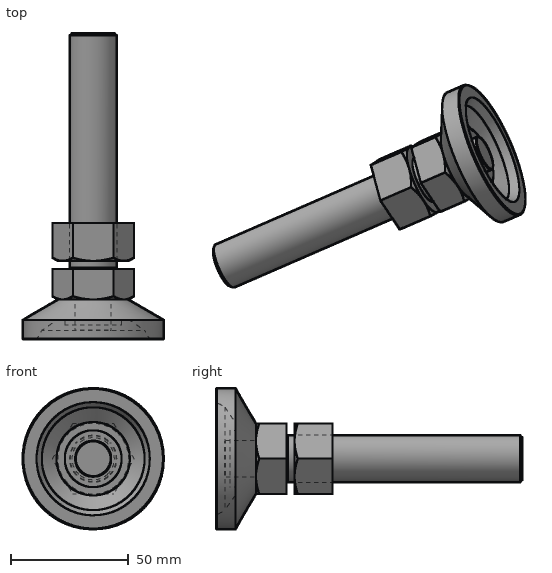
import cadquery as cq
import math


foot_radius = 30.0
foot_rim_height = 8.2
foot_height = 16.9
foot_edge_chamfer = 0.4
recess_mouth_radius = 24.0
recess_step_radius = 21.8
recess_step_height = 3.8
recess_top_radius = 15.6
recess_top_height = 8.0

hex_flats = 30.0
hex_corners = hex_flats / math.cos(math.pi / 6)
hex_chamfer_angle = math.radians(30)
stud_hex_height = 13.0
nut_height = 16.1
nut_gap = 3.4

stud_radius = 10.0
stud_length = 130.0
stud_end_chamfer = 1.0
neck_height = 0.6
neck_depth = 0.3
pin_radius = 7.7
pin_end_height = 3.6
pin_end_chamfer = 0.3

washer_radius = 12.1
washer_thickness = 2.1

foot_top_radius = hex_flats / 2
stud_hex_top = foot_height + stud_hex_height
nut_bottom = stud_hex_top + nut_gap


def revolve_profile(points):
    """Revolve a closed (radius, height) outline about the Y axis."""
    return cq.Workplane("XY").polyline(points).close().revolve(360, (0, 0), (0, 1))


def cylinder(radius, bottom, top):
    return revolve_profile([(0, bottom), (radius, bottom), (radius, top), (0, top)])


def chamfered_hex(bottom, height):
    """Hexagon with corners on the X axis, its corners bevelled at the lower end only."""
    top = bottom + height
    prism = (
        cq.Workplane("XZ", origin=(0, bottom, 0))
        .polygon(6, hex_corners)
        .extrude(-height)
    )
    face_radius = hex_flats / 2
    outer_radius = hex_corners
    bevel_height = (outer_radius - face_radius) * math.tan(hex_chamfer_angle)
    bevel_envelope = revolve_profile([
        (0, bottom),
        (face_radius, bottom),
        (outer_radius, bottom + bevel_height),
        (outer_radius, top),
        (0, top),
    ])
    return prism.intersect(bevel_envelope)


def make_foot():
    body = revolve_profile([
        (0, 0),
        (foot_radius - foot_edge_chamfer, 0),
        (foot_radius, foot_edge_chamfer),
        (foot_radius, foot_rim_height),
        (foot_top_radius, foot_height),
        (0, foot_height),
    ])
    recess = revolve_profile([
        (0, 0),
        (recess_mouth_radius, 0),
        (recess_step_radius, recess_step_height),
        (recess_top_radius, recess_top_height),
        (0, recess_top_height),
    ])
    pin_hole = cylinder(pin_radius, 0, foot_height)
    return body.cut(recess).cut(pin_hole)


def make_stud():
    """Pin, hexagon and rod in one piece, with a shallow neck where rod and hexagon meet."""
    shank = revolve_profile([
        (0, pin_end_height),
        (pin_radius - pin_end_chamfer, pin_end_height),
        (pin_radius, pin_end_height + pin_end_chamfer),
        (pin_radius, foot_height),
        (stud_radius - neck_depth, foot_height),
        (stud_radius - neck_depth, stud_hex_top),
        (stud_radius, stud_hex_top + neck_height),
        (stud_radius, stud_length - stud_end_chamfer),
        (stud_radius - stud_end_chamfer, stud_length),
        (0, stud_length),
    ])
    return shank.union(chamfered_hex(foot_height, stud_hex_height))


def make_lock_nut():
    bore = cylinder(stud_radius, nut_bottom, nut_bottom + nut_height)
    return chamfered_hex(nut_bottom, nut_height).cut(bore)


def make_washer():
    bottom = recess_top_height - washer_thickness
    ring = cylinder(washer_radius, bottom, recess_top_height)
    return ring.cut(cylinder(pin_radius, bottom, recess_top_height))


foot = make_foot()
stud = make_stud()
lock_nut = make_lock_nut()
washer = make_washer()

result = cq.Compound.makeCompound([foot.val(), stud.val(), lock_nut.val(), washer.val()])